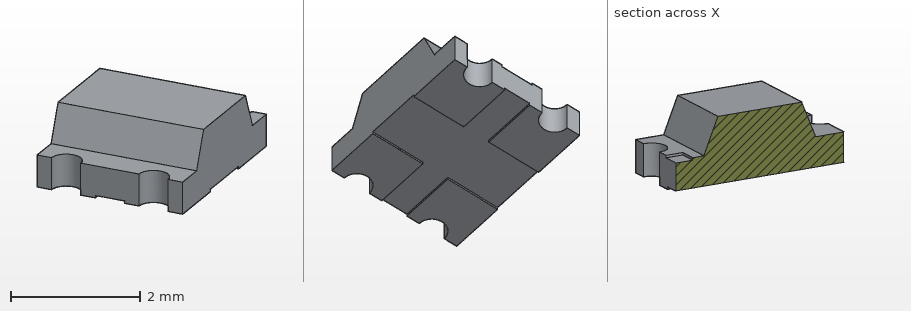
import cadquery as cq

LENGTH_X = 2.5
WIDTH_Y = 3.0
PAD_THICKNESS = 0.04
BOARD_THICKNESS = 0.5
BASE_HEIGHT = PAD_THICKNESS + BOARD_THICKNESS

PAD_GAP_X = 0.5
PAD_GAP_Y = 1.0

LENS_HEIGHT = 0.6
LENS_BOTTOM_WIDTH = 2.0
LENS_TOP_WIDTH = 1.5

CASTELLATION_RADIUS = 0.25
CASTELLATION_PITCH = 1.5

MARK_LENGTH = 0.6
MARK_WIDTH = 0.3
MARK_DEPTH = 0.04


def make_base():
    """Rectangular substrate standing on Z = 0."""
    return cq.Workplane("XY").box(LENGTH_X, WIDTH_Y, BASE_HEIGHT, centered=(True, True, False))


def make_lens():
    """Trapezoidal lens body on top of the substrate."""
    top = BASE_HEIGHT + LENS_HEIGHT
    profile = [
        (-LENS_BOTTOM_WIDTH / 2, BASE_HEIGHT),
        (LENS_BOTTOM_WIDTH / 2, BASE_HEIGHT),
        (LENS_TOP_WIDTH / 2, top),
        (-LENS_TOP_WIDTH / 2, top),
    ]
    return cq.Workplane("YZ").polyline(profile).close().extrude(LENGTH_X / 2, both=True)


def make_castellations():
    """Four vertical cylinders centred on the -Y and +Y edges."""
    return (
        cq.Workplane("XY")
        .rect(CASTELLATION_PITCH, WIDTH_Y, forConstruction=True)
        .vertices()
        .circle(CASTELLATION_RADIUS)
        .extrude(BASE_HEIGHT)
    )


def make_pad_gaps():
    """Cross-shaped channel that leaves a raised pad at each bottom corner."""
    along_x = cq.Workplane("XY").rect(LENGTH_X, PAD_GAP_Y).extrude(PAD_THICKNESS)
    along_y = cq.Workplane("XY").rect(PAD_GAP_X, WIDTH_Y).extrude(PAD_THICKNESS)
    return along_x.union(along_y)


def make_mark():
    """Rectangular recess open to the +Y edge."""
    return (
        cq.Workplane("XY", origin=(0, (WIDTH_Y - MARK_WIDTH) / 2, BASE_HEIGHT))
        .rect(MARK_LENGTH, MARK_WIDTH)
        .extrude(-MARK_DEPTH)
    )


result = (
    make_base()
    .union(make_lens())
    .cut(make_castellations())
    .cut(make_pad_gaps())
    .cut(make_mark())
)